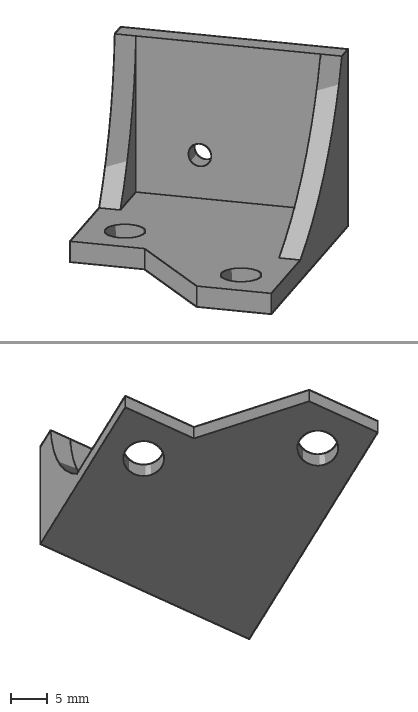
import cadquery as cq

width = 32.0
depth = 37.0
height = 25.4
thickness = 3.0

short_side_depth = 24.5
step_start_x = 10.5
step_end_x = 21.5

left_rib_reach = 7.5
left_rib_radius = 45.0
right_rib_reach = 20.0
right_rib_radius = 39.5

mount_hole_diameter = 5.5
mount_hole_side_inset = 6.0
mount_hole_front_inset = 6.0
mount_holes = [
    (mount_hole_side_inset, -(short_side_depth - mount_hole_front_inset)),
    (width - mount_hole_side_inset, -(depth - mount_hole_front_inset)),
]

wall_hole_diameter = 3.2
wall_hole_x = 12.0
wall_hole_z = 9.2


def make_plate():
    """Bottom plate with a slanted step joining its short and long sides."""
    outline = [
        (0, 0),
        (width, 0),
        (width, -depth),
        (step_end_x, -depth),
        (step_start_x, -short_side_depth),
        (0, -short_side_depth),
    ]
    return cq.Workplane("XY").polyline(outline).close().extrude(thickness)


def make_wall():
    """Upright wall along the back edge of the plate."""
    return cq.Workplane("XY").box(width, thickness, height, centered=False).translate((0, -thickness, 0))


def make_rib(start_x, reach, radius):
    """Rib between wall and plate, its free edge a concave arc from the wall top to the plate."""
    return (
        cq.Workplane("YZ", origin=(start_x, 0, 0))
        .moveTo(-thickness, thickness)
        .lineTo(-thickness, height)
        .radiusArc((-thickness - reach, thickness), radius)
        .close()
        .extrude(thickness)
    )


def make_mount_holes():
    """Cutters for the plate holes."""
    return cq.Workplane("XY").pushPoints(mount_holes).circle(mount_hole_diameter / 2).extrude(thickness)


def make_wall_hole():
    """Cutter for the wall hole, running from the back face towards -Y."""
    return (
        cq.Workplane("XZ")
        .center(wall_hole_x, wall_hole_z)
        .circle(wall_hole_diameter / 2)
        .extrude(thickness)
    )


left_rib = make_rib(0, left_rib_reach, left_rib_radius)
right_rib = make_rib(width - thickness, right_rib_reach, right_rib_radius)

body = make_plate().union(make_wall()).union(left_rib).union(right_rib)
result = body.cut(make_mount_holes()).cut(make_wall_hole()).clean()